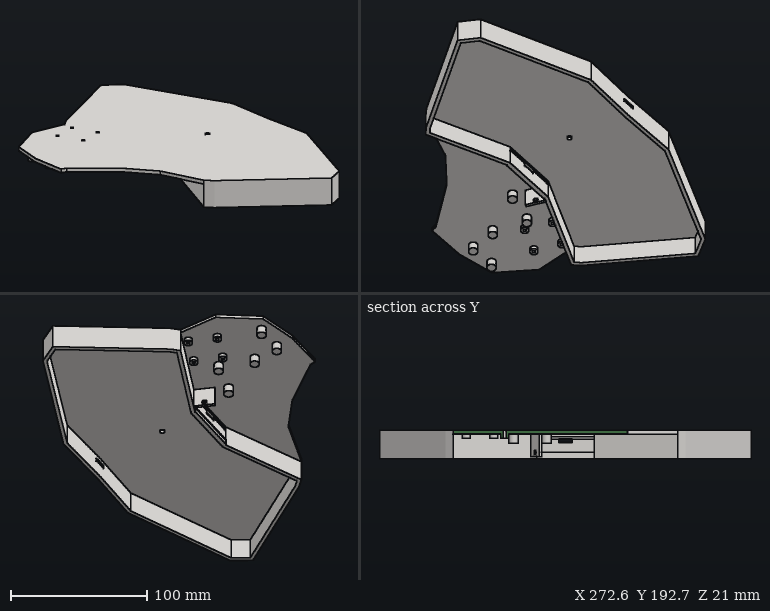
import cadquery as cq
import math

height = 21.0
plate_thickness = 3.0
wall_thickness = 3.0
plate_underside = height - plate_thickness

back_notch_y = 57.0
back_corner = (44.0, 58.0)
shoulder = (127.3, 22.5)
side_tip = (136.3, 8.2)
side_end = (87.8, -63.0)
front_corner = (82.4, -68.5)

front_wall_half_width = 21.0
slant_angle = math.radians(23.5)
slant_run = front_corner[0] - front_wall_half_width
front_wall_y = front_corner[1] + slant_run * math.tan(slant_angle)

lobe_corners = [
    (45.8, -80.5),
    (23.5, -98.2),
    (-2.0, -130.0),
    (-2.7, -134.7),
    (-33.3, -134.2),
    (-62.2, -127.3),
    (-82.4, -99.0),
]

slot_bottom = 14.5
slot_height = 1.5
window_width = 9.8
window_bottom = 12.0
window_height = slot_bottom - window_bottom
lip_height = 4.5
lip_projection = 0.5

fin_length = 15.5
fin_thickness = 2.0
fin_bottom = 1.5
fin_start_x = -24.5
fin_hole_diameter = 3.5
fin_hole_z = 4.5

roof_hole_diameter = 3.5
screw_hole_diameter = 2.1
short_boss_diameter = 6.0
short_boss_length = 3.0
post_diameter = 6.8
post_length = 6.5
wide_post_diameter = 7.0
boss_square_centre = (-58.5, -75.0)
boss_square_radius = 15.3
boss_square_angle = 67.2
post_places = [(-54.0, -120.8), (-38.2, -73.4), (-33.3, -120.8), (-30.5, -99.8)]
wide_post_place = (-14.0, -66.5)


def mirrored(points):
    """Points mirrored in the YZ plane, in reverse order to carry on an outline."""
    return [(-x, y) for x, y in reversed(points)]


def prism(points, bottom, top):
    return cq.Workplane("XY").workplane(offset=bottom).polyline(points).close().extrude(top - bottom)


def cylinders(places, diameter, bottom, top):
    plane = cq.Workplane("XY").workplane(offset=bottom)
    return plane.pushPoints(places).circle(diameter / 2).extrude(top - bottom)


def wall_block(width, depth, y, bottom, block_height):
    """Block centred on x = 0 and on the given y, for cutting or thickening a wall."""
    block = cq.Workplane("XY").box(width, depth, block_height, centered=(True, True, False))
    return block.translate((0, y, bottom))


def make_housing():
    """Hollow housing, open at the bottom and roofed by the cover plate."""
    back_half = [back_corner, shoulder, side_tip, side_end, front_corner]
    right_half = back_half + [(front_wall_half_width, front_wall_y)]
    outline = [(0, back_notch_y)] + right_half + mirrored(right_half)
    body = prism(outline, 0, height)
    footprint = cq.Workplane("XY").polyline(outline).close()
    cavity = footprint.offset2D(-wall_thickness, "intersection").extrude(plate_underside)
    cover_outline = [(0, back_notch_y)] + back_half + lobe_corners + mirrored(back_half)
    cover = prism(cover_outline, plate_underside, height)
    return body.cut(cavity).union(cover)


def cut_wall_openings(body):
    """Slot across the front wall, and a window through the front and back walls."""
    cut_depth = 3 * wall_thickness
    slot = wall_block(2 * front_wall_half_width, cut_depth, front_wall_y, slot_bottom, slot_height)
    body = body.cut(slot)
    for y in (front_wall_y, back_notch_y):
        body = body.cut(wall_block(window_width, cut_depth, y, window_bottom, window_height))
    return body


def make_lip():
    """Low band standing proud of the foot of the front wall."""
    depth = 2 * lip_projection
    return wall_block(2 * front_wall_half_width, depth, front_wall_y, 0, lip_height)


def make_fin():
    """Fin hanging from the plate, with a cross hole near its lower end."""
    start_y = front_corner[1] + (fin_start_x + front_corner[0]) * math.tan(slant_angle)
    fin_height = plate_underside - fin_bottom
    root = wall_thickness / 2
    fin = cq.Workplane("XY").box(
        fin_length + root, fin_thickness, fin_height, centered=(False, True, False)
    )
    hole = cq.Workplane("XZ").center(root + fin_length / 2, fin_hole_z - fin_bottom)
    hole = hole.circle(fin_hole_diameter / 2).extrude(fin_thickness, both=True)
    fin = fin.cut(hole).translate((-root, 0, fin_bottom))
    fin = fin.rotate((0, 0, 0), (0, 0, 1), math.degrees(slant_angle) - 90)
    return fin.translate((fin_start_x, start_y, 0))


def boss_places():
    """Corners of the turned square that carries the screw bosses."""
    places = []
    for corner in range(4):
        angle = math.radians(boss_square_angle + 90 * corner)
        x = boss_square_centre[0] + boss_square_radius * math.cos(angle)
        y = boss_square_centre[1] + boss_square_radius * math.sin(angle)
        places.append((x, y))
    return places


result = cut_wall_openings(make_housing()).union(make_lip()).union(make_fin())

screw_places = boss_places()
boss_bottom = plate_underside - short_boss_length
post_bottom = plate_underside - post_length
result = result.union(cylinders(screw_places, short_boss_diameter, boss_bottom, plate_underside))
result = result.union(cylinders(post_places, post_diameter, post_bottom, plate_underside))
result = result.union(cylinders([wide_post_place], wide_post_diameter, post_bottom, plate_underside))

result = result.cut(cylinders(screw_places, screw_hole_diameter, boss_bottom, height))
result = result.cut(cylinders([(0, 0)], roof_hole_diameter, plate_underside, height))